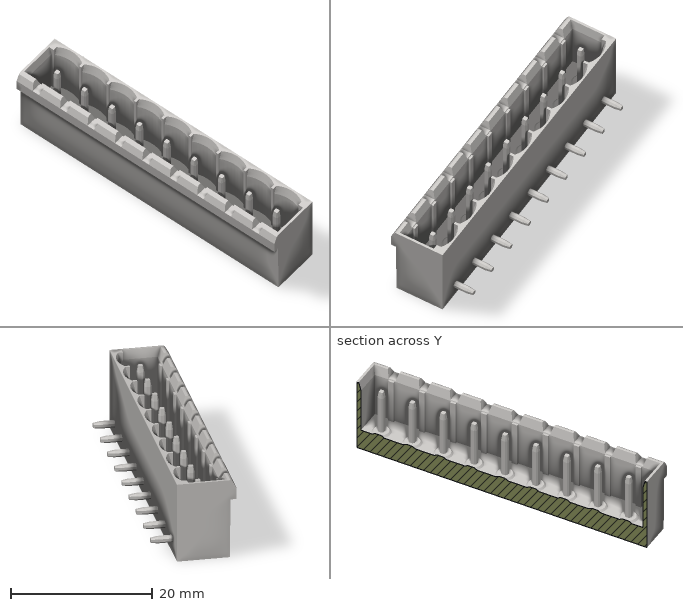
import cadquery as cq
import math

length = 47.0
height = 12.0
body_depth = 8.6
pin_count = 9
contact_row_length = 40.0
pin_y = 4.85

lip_height = 3.0
lip_overhang = 0.85
front_draft = 0.1
lip_slope_height = 1.2
edge_slope_depth = 0.3
edge_slope_height = 0.2

floor_z = 3.5
lead_in_height = 1.35
mouth_end_wall = 0.38
inner_end_wall = 0.75
mouth_front_wall = 1.25
inner_front_wall = 1.8
cavity_back_wall = 1.7

scallop_width = 4.6
scallop_mouth_radius = 4.1
scallop_inner_radius = 5.08
scallop_lead_in = 0.55
scallop_back_wall = 0.3

notch_top_width = 1.9
notch_floor_width = 1.15
rib_width = 0.9
rib_depth = 0.35

boss_base_radius = 1.4
boss_top_radius = 1.15
boss_height = 0.3
pin_width = 1.0
upright_flat = 0.5
upright_tip_flat = 0.45
tail_flat = 0.4
pin_tip_width = 0.65
pin_taper = 1.0
pin_top_z = 10.85
tail_z = 2.05
tail_length = 3.1

pin_pitch = contact_row_length / (pin_count - 1)
lead_in_z = height - lead_in_height
lip_slope_z = height - lip_slope_height
cavity_back_y = body_depth - cavity_back_wall
pin_xs = [(i - (pin_count - 1) / 2) * pin_pitch for i in range(pin_count)]


def box(x_size, y0, y1, z0, z1):
    """Box centred on X = 0 between the given Y and Z limits."""
    corner = (-x_size / 2, y0, z0)
    return cq.Workplane("XY").box(x_size, y1 - y0, z1 - z0, centered=False).translate(corner)


def housing():
    """Solid block with the overhanging lip along its front top edge."""
    return (
        cq.Workplane("YZ", origin=(-length / 2, 0, 0))
        .moveTo(body_depth, 0)
        .lineTo(body_depth, height)
        .lineTo(lip_overhang, height)
        .lineTo(lip_overhang - edge_slope_depth, height - edge_slope_height)
        .lineTo(0, lip_slope_z)
        .lineTo(0, height - lip_height)
        .lineTo(lip_overhang, height - lip_height)
        .lineTo(lip_overhang + front_draft, 0)
        .close()
        .extrude(length)
    )


def cavity():
    """Open pocket whose ends and front slope outwards at the mouth."""
    inner_x = length - 2 * inner_end_wall
    mouth_x = length - 2 * mouth_end_wall
    inner_y = cavity_back_y - inner_front_wall
    mouth_y = cavity_back_y - mouth_front_wall
    pocket = box(inner_x, inner_front_wall, cavity_back_y, floor_z, lead_in_z)
    mouth = (
        cq.Workplane("XY", origin=(0, cavity_back_y, lead_in_z))
        .center(0, -inner_y / 2)
        .rect(inner_x, inner_y)
        .workplane(offset=lead_in_height)
        .center(0, (inner_y - mouth_y) / 2)
        .rect(mouth_x, mouth_y)
        .loft(ruled=True)
    )
    return pocket.union(mouth)


def scallop_outline(back_y, radius, z):
    """Round-backed outline of one scallop at a given height."""
    half_width = scallop_width / 2
    end_y = back_y - radius + math.sqrt(radius**2 - half_width**2)
    return (
        cq.Workplane("XY", origin=(0, 0, z))
        .moveTo(-half_width, pin_y)
        .lineTo(half_width, pin_y)
        .lineTo(half_width, end_y)
        .threePointArc((0, back_y), (-half_width, end_y))
        .close()
    )


def scallop():
    """Round pocket into the back wall, sloping backwards at its mouth."""
    mouth_back_y = body_depth - scallop_back_wall
    inner_back_y = mouth_back_y - scallop_lead_in
    pocket = scallop_outline(inner_back_y, scallop_inner_radius, floor_z).extrude(lead_in_z - floor_z)
    mouth_wires = [
        scallop_outline(inner_back_y, scallop_inner_radius, lead_in_z).val(),
        scallop_outline(mouth_back_y, scallop_mouth_radius, height).val(),
    ]
    return pocket.union(cq.Workplane(cq.Solid.makeLoft(mouth_wires, True)))


def notch():
    """Tapered slot from the lip front into the cavity."""
    return (
        cq.Workplane("XZ")
        .moveTo(-notch_floor_width / 2, lip_slope_z)
        .lineTo(notch_floor_width / 2, lip_slope_z)
        .lineTo(notch_top_width / 2, height)
        .lineTo(-notch_top_width / 2, height)
        .close()
        .extrude(-inner_front_wall)
    )


def key_rib():
    """Rib on the inside of the front wall below a notch."""
    return box(rib_width, inner_front_wall, inner_front_wall + rib_depth, floor_z, lead_in_z)


def boss():
    """Conical boss on the cavity floor."""
    return (
        cq.Workplane("XY", origin=(0, pin_y, floor_z))
        .circle(boss_base_radius)
        .workplane(offset=boss_height)
        .circle(boss_top_radius)
        .loft()
    )


def pin_outline(width, flat):
    """Corner points of a square with its corners cut back to the flats."""
    w = width / 2
    f = flat / 2
    return [(w, -f), (w, f), (f, w), (-f, w), (-w, f), (-w, -f), (-f, -w), (f, -w)]


def chamfered_pin(plane, pin_length, flat, tip_flat):
    """Pin along the plane normal with cut corners and a tapered tip."""
    shaft_length = pin_length - pin_taper
    shaft = cq.Workplane(plane).polyline(pin_outline(pin_width, flat)).close().extrude(shaft_length)
    tip = (
        cq.Workplane(plane)
        .workplane(offset=shaft_length)
        .polyline(pin_outline(pin_width, flat))
        .close()
        .workplane(offset=pin_taper)
        .polyline(pin_outline(pin_tip_width, tip_flat))
        .close()
        .loft(ruled=True)
    )
    return shaft.union(tip)


upright_pin = chamfered_pin(
    plane=cq.Plane((0, pin_y, tail_z), (1, 0, 0), (0, 0, 1)),
    pin_length=pin_top_z - tail_z,
    flat=upright_flat,
    tip_flat=upright_tip_flat,
)
solder_tail = chamfered_pin(
    plane=cq.Plane((0, pin_y, tail_z), (1, 0, 0), (0, 1, 0)),
    pin_length=body_depth + tail_length - pin_y,
    flat=tail_flat,
    tip_flat=tail_flat,
)


def at_every_contact(shape):
    """Copies of the shape at each contact position, as one compound."""
    copies = [shape.val().translate(cq.Vector(x, 0, 0)) for x in pin_xs]
    return cq.Workplane(cq.Compound.makeCompound(copies))


result = housing().cut(cavity())
for cutter in (scallop(), notch()):
    result = result.cut(at_every_contact(cutter))
for addition in (key_rib(), boss(), upright_pin, solder_tail):
    result = result.union(at_every_contact(addition))